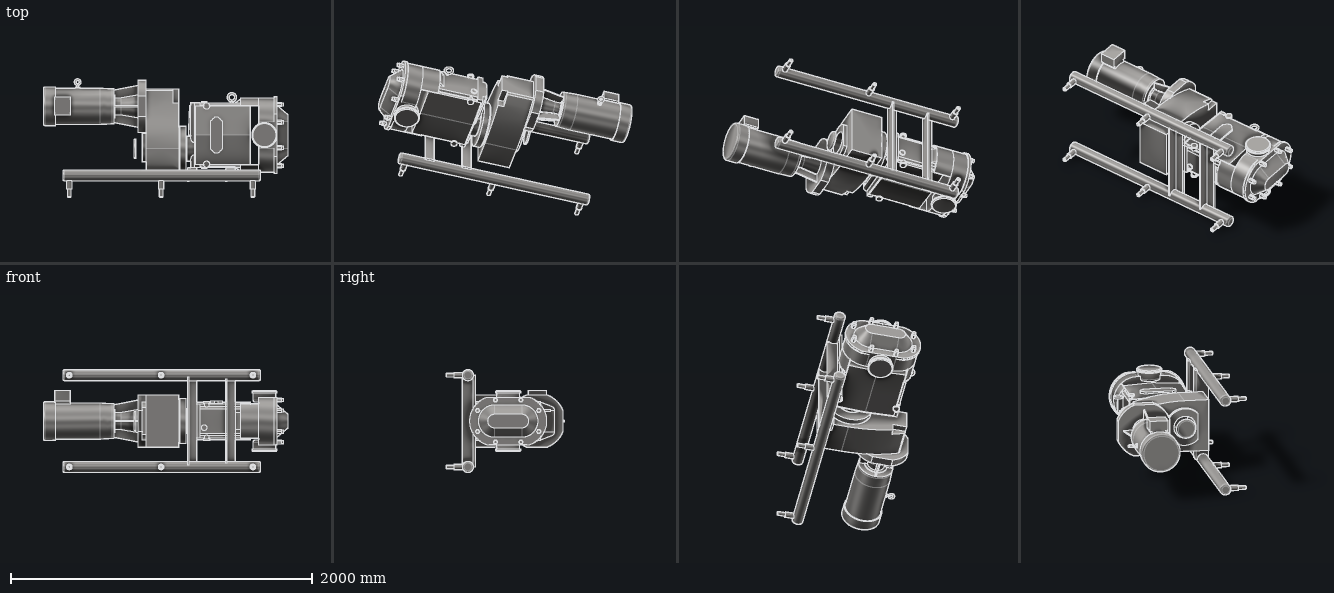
import cadquery as cq
import math


TOTAL_LENGTH = 1622.0
MOTOR_Y = 457.0
OUTPUT_Y = 177.0
ROTOR_SPACING = 180.0
PUMP_Y = OUTPUT_Y + ROTOR_SPACING / 2
BLEND = 8.0

MOTOR_DIA = 242.0
MOTOR_CAP_DIA = 258.0
MOTOR_CAP_END = 81.0
MOTOR_CAP_FILLET = 11.0
MOTOR_TAPER_START = 376.0
MOTOR_TAPER_END = 454.0
MOTOR_NOSE_DIA = 234.0
MOTOR_END = 469.0
BOX_X = (75.0, 178.0)
BOX_Y = (399.0, 520.0)
BOX_Z = (133.0, 203.0)
BOX_PEDESTAL_INSET = 15.0
MOTOR_EYE_X = 227.0
MOTOR_EYE_Y = 618.0
MOTOR_EYE_RADIUS = 16.0
MOTOR_EYE_WIRE = 13.0
MOTOR_EYE_BASE_DIA = 30.0
MOTOR_EYE_BASE_TOP = 585.0

LANTERN_COLLAR_DIA = 152.0
LANTERN_COLLAR_LENGTH = 5.0
LANTERN_NECK_DIA = 114.0
LANTERN_CONE_START = 514.0
LANTERN_CONE_DIA = 152.0
RIB_ROOT_RADIUS = 109.0
RIB_TIP_RADIUS = 140.0
RIB_THICKNESS = 8.0
FLANGE_START = 626.0
FLANGE_DIA = 373.0
GEARBOX_START = 681.0
GEARBOX_END = 899.0
GEARBOX_BOTTOM = 11.0
GEARBOX_TOP = 573.0
GEARBOX_WIDTH = 347.0
GEARBOX_SIDE_RADIUS = 973.0
GEARBOX_TOP_CHAMFER = 10.0
NOTCH_START = 858.0
NOTCH_Y = 480.0
NOTCH_Z = 71.0
BORE_DIA = 148.0
PLATE_START = 655.0
PLATE_DIA = 250.0
PLATE_Y = (90.0, 280.0)
HUB_DIA = 300.0
HUB_END = 945.0
HUB_CHAMFER = 8.0

CAP_DIA = 130.0
CAP_FILLET = 10.0
CAP_START = 600.0
CAP_THICKNESS = 13.0

SHAFT_DIA = 167.0
SHAFT_START = 950.0
REAR_BULGE_START = 960.0
REAR_BULGE_Y = (265.0, 464.0)
REAR_BULGE_DRAFT = 8.0
REAR_BULGE_WIDTH = 97.0
REAR_COVER_START = 976.0
REAR_COVER_WIDTH = 146.0
REAR_COVER_ROUND = 23.0
FRAME_START = 1002.0
FRAME_END = 1038.0
FRAME_HALF_HEIGHT = 215.0
FRAME_INSET = 2.0
CASE_START = 1009.0
CASE_END = 1372.0
CASE_HALF_HEIGHT = 193.0
CASE_EDGE_Z = 114.0
CASE_RIDGE_Z = 125.0
SLAB_HALF_HEIGHT = 214.0
SLAB_WIDTH = 195.0
SLAB_CHAMFER_Y = 10.0
SLAB_CHAMFER_Z = 16.0
ARM_START = 1305.0
ARM_WIDTH = 230.0
ARM_RAMP_START = 1272.0
ARM_RAMP_WIDTH = 114.0
PAD_X = (1106.0, 1187.0)
PAD_LENGTH = 238.0
PAD_CHAMFER = 30.0
PAD_TOP = 133.0
CORNER_BOLT_X = 1082.0
CORNER_BOLT_DIA = 30.0
CORNER_BOLT_HEAD_DIA = 42.0
CORNER_BOLT_HEAD_BASE = 120.0
CORNER_BOLT_TOP = 130.0
PLUG_X = 1065.0
PLUG_Z = 44.0
PLUG_DIA = 37.0
PLUG_HEIGHT = 8.0
PUMP_EYE_X = 1249.0
PUMP_EYE_Y = 517.0
PUMP_EYE_Z = 70.0
PUMP_EYE_RADIUS = 25.0
PUMP_EYE_WIRE = 15.0

HEAD_START = 1425.0
HEAD_RADIUS = 157.0
HEAD_FLANGE_START = 1530.0
HEAD_FLANGE_RADIUS = 165.0
HEAD_END = 1549.0
COVER_BASE_RADIUS = 107.0
COVER_TIP_RADIUS = 45.0
OUTER_STUD = (203.0, 70.0)
INNER_STUD = (85.0, 140.0)
NUT_DIA = 30.0
NUT_LENGTH = 30.0
STUD_DIA = 23.0
STUD_LENGTH = 42.0
PORT_X = 1465.0
PORT_DIA = 152.0
PORT_FLANGE_DIA = 167.0
PORT_ROOT_Z = 125.0
PORT_ROOT_FILLET = 16.0
PORT_FLANGE_Z = 187.0
PORT_END_Z = 203.0
PORT_CHAMFER = 6.0

RAIL_DIA = 75.0
RAIL_SPAN = 608.0
RAIL_X = (130.0, 1439.0)
RAIL_END_FILLET = 11.0
FOOT_X = (172.0, 780.0, 1388.0)
FOOT_DIA = 37.0
FOOT_TIP_DIA = 26.0
FOOT_SHOULDER_Y = -91.0
FOOT_END_Y = -146.0
FOOT_END_CHAMFER = 5.0
ANGLE_STARTS = (954.0, 1208.0)
ANGLE_LEG_LENGTHS = (580.0, 558.0)
ANGLE_WIDTH = 63.0
ANGLE_THICKNESS = 10.0
ANGLE_BOTTOM = -39.0
ANGLE_LENGTH = 610.0
ANGLE_BEND_RADIUS = 8.0


def block(x_range, y_range, z_range):
    """Box between the given limits."""
    sizes = [high - low for low, high in (x_range, y_range, z_range)]
    corner = (x_range[0], y_range[0], z_range[0])
    return cq.Workplane().box(*sizes, centered=False).translate(corner)


def x_cylinder(start, end, diameter, y, z=0.0):
    """Cylinder along X."""
    return cq.Workplane("YZ", origin=(start, y, z)).circle(diameter / 2).extrude(end - start)


def y_cylinder(start, end, diameter, x, z=0.0):
    """Cylinder along Y."""
    return cq.Workplane("XZ", origin=(x, start, z)).circle(diameter / 2).extrude(start - end)


def z_cylinder(start, end, diameter, x, y):
    """Cylinder along Z."""
    return cq.Workplane("XY", origin=(x, y, start)).circle(diameter / 2).extrude(end - start)


def x_cone(start, end, start_diameter, end_diameter, y):
    """Truncated cone along X."""
    profile = [(start, 0), (start, start_diameter / 2), (end, end_diameter / 2), (end, 0)]
    sketch = cq.Workplane("XY").polyline(profile).close()
    return sketch.revolve(360, (0, 0, 0), (1, 0, 0)).translate((0, y, 0))


def stadium(x, radius):
    """Sketch of the outline round both rotor axes, in the plane across X."""
    sketch = cq.Workplane("YZ", origin=(x, PUMP_Y, 0))
    return sketch.slot2D(ROTOR_SPACING + 2 * radius, 2 * radius)


def eye_bolt(x, y, ring_radius, wire, root_y):
    """Lifting ring lying in the XY plane with a stem down to root_y."""
    ring = cq.Workplane(cq.Solid.makeTorus(ring_radius, wire / 2, cq.Vector(x, y, 0), cq.Vector(0, 0, 1)))
    return ring.union(y_cylinder(root_y, y - ring_radius, wire, x))


def make_motor():
    body = x_cylinder(0, MOTOR_CAP_END, MOTOR_CAP_DIA, MOTOR_Y).faces("<X").edges().fillet(MOTOR_CAP_FILLET)
    body = body.union(x_cylinder(MOTOR_CAP_END, MOTOR_TAPER_START, MOTOR_DIA, MOTOR_Y))
    body = body.union(x_cone(MOTOR_TAPER_START, MOTOR_TAPER_END, MOTOR_DIA, MOTOR_NOSE_DIA, MOTOR_Y))
    body = body.union(x_cylinder(MOTOR_TAPER_END, MOTOR_END, MOTOR_NOSE_DIA, MOTOR_Y))

    box = block(BOX_X, BOX_Y, BOX_Z)
    pedestal_y = (BOX_Y[0] + BOX_PEDESTAL_INSET, BOX_Y[1] - BOX_PEDESTAL_INSET)
    pedestal = block(BOX_X, pedestal_y, (MOTOR_DIA / 4, BOX_Z[0]))

    motor_top = MOTOR_Y + MOTOR_DIA / 2
    eye_base = y_cylinder(motor_top - BLEND, MOTOR_EYE_BASE_TOP, MOTOR_EYE_BASE_DIA, MOTOR_EYE_X)
    eye = eye_bolt(MOTOR_EYE_X, MOTOR_EYE_Y, MOTOR_EYE_RADIUS, MOTOR_EYE_WIRE, motor_top)
    return body.union(pedestal).union(box).union(eye_base).union(eye)


def make_lantern():
    """Conical adapter with four radial ribs and a flange with four flats."""
    collar_end = MOTOR_END + LANTERN_COLLAR_LENGTH
    lantern = x_cylinder(MOTOR_END, collar_end, LANTERN_COLLAR_DIA, MOTOR_Y)
    lantern = lantern.union(x_cylinder(MOTOR_END, LANTERN_CONE_START, LANTERN_NECK_DIA, MOTOR_Y))
    lantern = lantern.union(
        x_cone(LANTERN_CONE_START, FLANGE_START, LANTERN_NECK_DIA, LANTERN_CONE_DIA, MOTOR_Y))

    rib_profile = [
        (MOTOR_END, -RIB_ROOT_RADIUS),
        (FLANGE_START, -RIB_TIP_RADIUS),
        (FLANGE_START, RIB_TIP_RADIUS),
        (MOTOR_END, RIB_ROOT_RADIUS),
    ]
    rib_pair = cq.Workplane("XY").polyline(rib_profile).close().extrude(RIB_THICKNESS / 2, both=True)
    for angle in (0, 90):
        turned = rib_pair.rotate((0, 0, 0), (1, 0, 0), angle)
        lantern = lantern.union(turned.translate((0, MOTOR_Y, 0)))

    half = GEARBOX_WIDTH / 2
    flats = block((FLANGE_START, GEARBOX_START), (MOTOR_Y - half, MOTOR_Y + half), (-half, half))
    flange = x_cylinder(FLANGE_START, GEARBOX_START, FLANGE_DIA, MOTOR_Y).intersect(flats)
    return lantern.union(flange)


def make_gearbox():
    """Housing with straight lower sides, large side arcs, a flat top and two notched top corners."""
    half = GEARBOX_WIDTH / 2

    def side_z(y):
        drop = GEARBOX_SIDE_RADIUS - math.sqrt(GEARBOX_SIDE_RADIUS**2 - (y - OUTPUT_Y)**2)
        return half - drop

    mid_y = (OUTPUT_Y + GEARBOX_TOP) / 2
    top_z = side_z(GEARBOX_TOP)
    outline = (
        cq.Workplane("YZ", origin=(GEARBOX_START, 0, 0))
        .moveTo(GEARBOX_BOTTOM, -half)
        .lineTo(OUTPUT_Y, -half)
        .threePointArc((mid_y, -side_z(mid_y)), (GEARBOX_TOP, -top_z))
        .lineTo(GEARBOX_TOP, top_z)
        .threePointArc((mid_y, side_z(mid_y)), (OUTPUT_Y, half))
        .lineTo(GEARBOX_BOTTOM, half)
        .close()
    )
    gearbox = outline.extrude(GEARBOX_END - GEARBOX_START)
    gearbox = gearbox.faces(">Y").edges("|X").chamfer(GEARBOX_TOP_CHAMFER)
    notch = block((NOTCH_START, GEARBOX_END), (NOTCH_Y, GEARBOX_TOP), (NOTCH_Z, half))
    return gearbox.cut(notch).cut(notch.mirror("XY"))


def make_reducer():
    """Gearbox with a hollow output shaft through its hub, joined to the motor lantern."""
    half_plate = PLATE_DIA / 2
    plate_limits = block((PLATE_START, GEARBOX_START), PLATE_Y, (-half_plate, half_plate))
    plate = x_cylinder(PLATE_START, GEARBOX_START, PLATE_DIA, OUTPUT_Y).intersect(plate_limits)

    hub = x_cylinder(GEARBOX_END, HUB_END, HUB_DIA, OUTPUT_Y).faces("<X").edges().chamfer(HUB_CHAMFER)
    bore = x_cylinder(PLATE_START, HUB_END, BORE_DIA, OUTPUT_Y)
    return make_gearbox().union(plate).union(hub).cut(bore).union(make_lantern())


def make_shaft_cap():
    cap = x_cylinder(CAP_START, CAP_START + CAP_THICKNESS, CAP_DIA, OUTPUT_Y)
    return cap.faces("<X").edges().fillet(CAP_FILLET)


def ridged_block(start, end, half_height, inset):
    """Block along X whose +Z and -Z faces rise to a ridge level with the pump axis."""
    edge_z = CASE_EDGE_Z - inset
    ridge_z = CASE_RIDGE_Z - inset
    outline = [
        (PUMP_Y - half_height, edge_z),
        (PUMP_Y, ridge_z),
        (PUMP_Y + half_height, edge_z),
        (PUMP_Y + half_height, -edge_z),
        (PUMP_Y, -ridge_z),
        (PUMP_Y - half_height, -edge_z),
    ]
    return cq.Workplane("YZ", origin=(start, 0, 0)).polyline(outline).close().extrude(end - start)


def make_case_body():
    """Central slab, thicker ridged case, end frame, rounded rear cover and input shaft."""
    slab_y = (PUMP_Y - SLAB_HALF_HEIGHT, PUMP_Y + SLAB_HALF_HEIGHT)
    frame_y = (PUMP_Y - FRAME_HALF_HEIGHT, PUMP_Y + FRAME_HALF_HEIGHT)
    body = block((CASE_START, ARM_START), slab_y, (-SLAB_WIDTH / 2, SLAB_WIDTH / 2))
    for side in ("<Y", ">Y"):
        body = body.faces(side).edges("|X").chamfer(SLAB_CHAMFER_Z, SLAB_CHAMFER_Y)
    case = ridged_block(CASE_START, CASE_END, CASE_HALF_HEIGHT, 0)
    frame = ridged_block(FRAME_START, FRAME_END, FRAME_HALF_HEIGHT, FRAME_INSET)
    half_cover = REAR_COVER_WIDTH / 2
    cover = block((REAR_COVER_START, FRAME_START), frame_y, (-half_cover, half_cover))
    cover = cover.faces("<X").edges("|Y").fillet(REAR_COVER_ROUND)

    bulge_profile = [
        (REAR_COVER_START, REAR_BULGE_Y[0]),
        (REAR_BULGE_START, REAR_BULGE_Y[0]),
        (REAR_BULGE_START + REAR_BULGE_DRAFT, REAR_BULGE_Y[1]),
        (REAR_COVER_START, REAR_BULGE_Y[1]),
    ]
    bulge = cq.Workplane("XY").polyline(bulge_profile).close().extrude(REAR_BULGE_WIDTH / 2, both=True)
    shaft = x_cylinder(SHAFT_START, FRAME_START, SHAFT_DIA, OUTPUT_Y)
    return body.union(case).union(frame).union(cover).union(bulge).union(shaft)


def make_arms():
    """Two arms above and below the case that carry the pump head, each with a ramp."""
    reach = ROTOR_SPACING / 2 + HEAD_RADIUS
    arms = stadium(ARM_START, HEAD_RADIUS).extrude(HEAD_START - ARM_START)
    y_limits = (PUMP_Y - reach, PUMP_Y + reach)
    arms = arms.intersect(block((ARM_START, HEAD_START), y_limits, (-ARM_WIDTH / 2, ARM_WIDTH / 2)))
    opening_y = (PUMP_Y - CASE_HALF_HEIGHT, PUMP_Y + CASE_HALF_HEIGHT)
    arms = arms.cut(block((ARM_START, HEAD_START), opening_y, (-ARM_WIDTH, ARM_WIDTH)))
    for side in (-1, 1):
        ramp_profile = [
            (ARM_RAMP_START, PUMP_Y + side * CASE_HALF_HEIGHT),
            (ARM_RAMP_START, PUMP_Y + side * SLAB_HALF_HEIGHT),
            (ARM_START, PUMP_Y + side * (reach - BLEND)),
            (ARM_START, PUMP_Y + side * CASE_HALF_HEIGHT),
        ]
        ramp = cq.Workplane("XY").polyline(ramp_profile).close().extrude(ARM_RAMP_WIDTH / 2, both=True)
        arms = arms.union(ramp)
    return arms


def make_case_fittings():
    """Top pad, corner bolts, drain plugs and the lifting eye."""
    pad_y = (PUMP_Y - PAD_LENGTH / 2, PUMP_Y + PAD_LENGTH / 2)
    fittings = block(PAD_X, pad_y, (CASE_EDGE_Z, PAD_TOP)).edges("|Z").chamfer(PAD_CHAMFER)
    for y_side in (-1, 1):
        bolt_y = PUMP_Y + y_side * CASE_HALF_HEIGHT
        bolt = z_cylinder(-CORNER_BOLT_TOP, CORNER_BOLT_TOP, CORNER_BOLT_DIA, CORNER_BOLT_X, bolt_y)
        head = z_cylinder(CORNER_BOLT_HEAD_BASE, CORNER_BOLT_TOP, CORNER_BOLT_HEAD_DIA, CORNER_BOLT_X, bolt_y)
        fittings = fittings.union(bolt).union(head).union(head.mirror("XY"))
        slab_face = PUMP_Y + y_side * SLAB_HALF_HEIGHT
        plug_ends = sorted((slab_face - y_side * BLEND, slab_face + y_side * PLUG_HEIGHT))
        fittings = fittings.union(y_cylinder(*plug_ends, PLUG_DIA, PLUG_X, -PLUG_Z))
    eye_root = PUMP_Y + SLAB_HALF_HEIGHT - BLEND
    eye = eye_bolt(PUMP_EYE_X, PUMP_EYE_Y, PUMP_EYE_RADIUS, PUMP_EYE_WIRE, eye_root)
    return fittings.union(eye.translate((0, 0, PUMP_EYE_Z)))


def make_gear_case():
    return make_case_body().union(make_arms()).union(make_case_fittings())


def stud_positions():
    """Y and Z of the eight cover studs, two in each quarter."""
    positions = []
    for reach_y, reach_z in (OUTER_STUD, INNER_STUD):
        for y_side in (-1, 1):
            for z_side in (-1, 1):
                positions.append((PUMP_Y + y_side * reach_y, z_side * reach_z))
    return positions


def make_port():
    """Upward port with a clamp flange."""
    neck = z_cylinder(PORT_ROOT_Z, PORT_FLANGE_Z, PORT_DIA, PORT_X, PUMP_Y)
    neck = neck.faces("<Z").edges().fillet(PORT_ROOT_FILLET)
    flange = z_cylinder(PORT_FLANGE_Z, PORT_END_Z, PORT_FLANGE_DIA, PORT_X, PUMP_Y)
    return neck.union(flange.faces(">Z").edges().chamfer(PORT_CHAMFER))


def make_pump_head():
    head = stadium(HEAD_START, HEAD_RADIUS).extrude(HEAD_FLANGE_START - HEAD_START)

    flange = stadium(HEAD_FLANGE_START, HEAD_FLANGE_RADIUS).extrude(HEAD_END - HEAD_FLANGE_START)
    flange_y = (PUMP_Y - 2 * HEAD_RADIUS, PUMP_Y + 2 * HEAD_RADIUS)
    flange_limits = block((HEAD_FLANGE_START, HEAD_END), flange_y, (-HEAD_RADIUS, HEAD_RADIUS))
    head = head.union(flange.intersect(flange_limits))

    cover_depth = TOTAL_LENGTH - HEAD_END
    cover_taper = math.degrees(math.atan2(COVER_BASE_RADIUS - COVER_TIP_RADIUS, cover_depth))
    head = head.union(stadium(HEAD_END, COVER_BASE_RADIUS).extrude(cover_depth, taper=cover_taper))

    port = make_port()
    head = head.union(port).union(port.mirror("XY"))
    for y, z in stud_positions():
        nut = cq.Workplane("YZ", origin=(HEAD_END, y, z)).polygon(6, NUT_DIA).extrude(NUT_LENGTH)
        head = head.union(nut).union(x_cylinder(HEAD_END, HEAD_END + STUD_LENGTH, STUD_DIA, y, z))
    return head


def make_rail(z):
    """Round rail with its row of stepped feet."""
    rail = x_cylinder(*RAIL_X, RAIL_DIA, 0, z).edges().fillet(RAIL_END_FILLET)
    for x in FOOT_X:
        tip = y_cylinder(FOOT_END_Y, 0, FOOT_TIP_DIA, x, z).faces("<Y").edges().chamfer(FOOT_END_CHAMFER)
        rail = rail.union(tip).union(y_cylinder(FOOT_SHOULDER_Y, 0, FOOT_DIA, x, z))
    return rail


def make_cross_angle(start, leg_length):
    """Angle section across both rails, with its shelf on top of them."""
    shelf_top = PUMP_Y - FRAME_HALF_HEIGHT
    shelf_y = (RAIL_DIA / 2 - ANGLE_THICKNESS / 2, shelf_top)
    shelf = block((start, start + ANGLE_WIDTH), shelf_y, (-ANGLE_LENGTH / 2, ANGLE_LENGTH / 2))
    leg_y = (ANGLE_BOTTOM, shelf_top)
    leg = block((start, start + ANGLE_THICKNESS), leg_y, (-leg_length / 2, leg_length / 2))
    bend = cq.selectors.NearestToPointSelector((start, shelf_top, 0))
    return shelf.union(leg).edges(bend).fillet(ANGLE_BEND_RADIUS)


def make_skid():
    skid = make_rail(-RAIL_SPAN / 2).union(make_rail(RAIL_SPAN / 2))
    for start, leg_length in zip(ANGLE_STARTS, ANGLE_LEG_LENGTHS):
        skid = skid.union(make_cross_angle(start, leg_length))
    return skid


motor = make_motor()
reducer = make_reducer()
shaft_cap = make_shaft_cap()
gear_case = make_gear_case()
pump_head = make_pump_head()
skid = make_skid()

result = cq.Compound.makeCompound([
    motor.val(),
    reducer.val(),
    shaft_cap.val(),
    gear_case.val(),
    pump_head.val(),
    skid.val(),
])